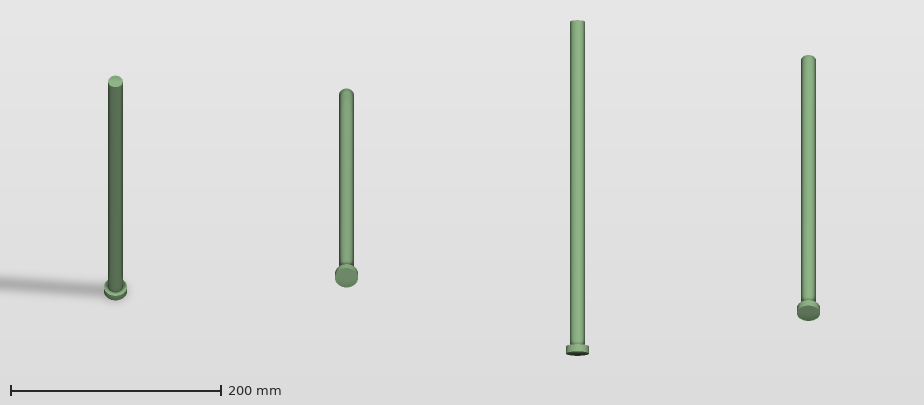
import cadquery as cq

total_length = 322.0
head_diameter = 22.0
head_height = 7.0
shank_diameter = 14.0


def make_head():
    return cq.Workplane("XY").circle(head_diameter / 2).extrude(head_height)


def make_shank():
    return cq.Workplane("XY").circle(shank_diameter / 2).extrude(total_length)


result = make_head().union(make_shank())